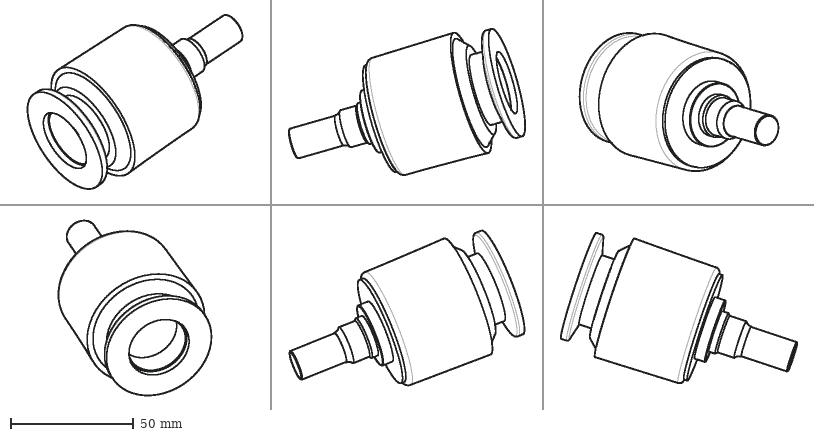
import cadquery as cq
import math

LENGTH = 92.3

FLANGE_RADIUS = 22.9
FLANGE_RIM_WIDTH = 2.3
FLANGE_EDGE_ROUND = 0.9
FLANGE_SLOPE = math.radians(15)
NECK_RADIUS = 14.95

RECESS_RADIUS = 13.1
RECESS_DEPTH = 2.7
BORE_RADIUS = 12.5
BORE_DEPTH = 12.9

CONE_FRONT_Y = 11.1
CONE_FRONT_RADIUS = 18.8
CONE_BACK_RADIUS = 23.1
BODY_FRONT_Y = 15.5
BODY_FRONT_DIAMETER = 51.2
BODY_BACK_RADIUS = 24.9
SHOULDER_ROUND = 1.9
REAR_RIM_RADIUS = 22.8
REAR_RIM_FRONT_Y = 53.0
REAR_RIM_BACK_Y = 54.5

COLLAR_RADIUS = 13.3
COLLAR_BACK_Y = 59.1
COLLAR_CHAMFER = 0.3
STEP_RADIUS = 8.8
STEP_CHAMFER = 0.8
STEP_BACK_Y = 62.6
SLEEVE_RADIUS = 7.9
SLEEVE_BACK_Y = 69.7
SLEEVE_TIP_RADIUS = 6.55
SLEEVE_TIP_BACK_Y = 72.3
SHAFT_RADIUS = 6.4
SHAFT_CHAMFER = 0.4

round_centre_radius = FLANGE_RADIUS - FLANGE_EDGE_ROUND
mid_angle = (math.pi / 2 - FLANGE_SLOPE) / 2


def flange_round_point(angle):
    """Point on the flange edge round, with the angle measured from the radial direction."""
    return (
        round_centre_radius + FLANGE_EDGE_ROUND * math.cos(angle),
        FLANGE_RIM_WIDTH + FLANGE_EDGE_ROUND * math.sin(angle),
    )


slope_start = flange_round_point(2 * mid_angle)
slope_end_y = slope_start[1] + (slope_start[0] - NECK_RADIUS) * math.tan(FLANGE_SLOPE)

shoulder_y = REAR_RIM_FRONT_Y - SHOULDER_ROUND
shoulder_inner_radius = BODY_BACK_RADIUS - SHOULDER_ROUND
shoulder_mid = (
    shoulder_inner_radius + SHOULDER_ROUND * math.cos(math.pi / 4),
    shoulder_y + SHOULDER_ROUND * math.sin(math.pi / 4),
)

flare_drop = SLEEVE_RADIUS - SLEEVE_TIP_RADIUS
flare_length = SLEEVE_TIP_BACK_Y - SLEEVE_BACK_Y
flare_arc_radius = (flare_drop**2 + flare_length**2) / (2 * flare_drop)
flare_half_angle = math.asin(flare_length / flare_arc_radius) / 2
sleeve_arc_mid = (
    SLEEVE_TIP_RADIUS + flare_arc_radius * (1 - math.cos(flare_half_angle)),
    SLEEVE_TIP_BACK_Y - flare_arc_radius * math.sin(flare_half_angle),
)

half_section = (
    cq.Workplane("XY")
    .moveTo(0, 0)
    .lineTo(FLANGE_RADIUS, 0)
    .lineTo(FLANGE_RADIUS, FLANGE_RIM_WIDTH)
    .threePointArc(flange_round_point(mid_angle), slope_start)
    .lineTo(NECK_RADIUS, slope_end_y)
    .lineTo(NECK_RADIUS, CONE_FRONT_Y)
    .lineTo(CONE_FRONT_RADIUS, CONE_FRONT_Y)
    .lineTo(CONE_BACK_RADIUS, BODY_FRONT_Y)
    .lineTo(BODY_FRONT_DIAMETER / 2, BODY_FRONT_Y)
    .lineTo(BODY_BACK_RADIUS, shoulder_y)
    .threePointArc(shoulder_mid, (shoulder_inner_radius, REAR_RIM_FRONT_Y))
    .lineTo(REAR_RIM_RADIUS, REAR_RIM_FRONT_Y)
    .lineTo(REAR_RIM_RADIUS, REAR_RIM_BACK_Y)
    .lineTo(COLLAR_RADIUS, REAR_RIM_BACK_Y)
    .lineTo(COLLAR_RADIUS, COLLAR_BACK_Y - COLLAR_CHAMFER)
    .lineTo(COLLAR_RADIUS - COLLAR_CHAMFER, COLLAR_BACK_Y)
    .lineTo(STEP_RADIUS, COLLAR_BACK_Y)
    .lineTo(STEP_RADIUS, STEP_BACK_Y - STEP_CHAMFER)
    .lineTo(SLEEVE_RADIUS, STEP_BACK_Y)
    .lineTo(SLEEVE_RADIUS, SLEEVE_BACK_Y)
    .threePointArc(sleeve_arc_mid, (SLEEVE_TIP_RADIUS, SLEEVE_TIP_BACK_Y))
    .lineTo(SHAFT_RADIUS, SLEEVE_TIP_BACK_Y)
    .lineTo(SHAFT_RADIUS, LENGTH - SHAFT_CHAMFER)
    .lineTo(SHAFT_RADIUS - SHAFT_CHAMFER, LENGTH)
    .lineTo(0, LENGTH)
    .close()
)
turned_body = half_section.revolve(360, (0, 0), (0, 1))


def front_hole(radius, depth):
    """Cylinder running back from the flange face along Y."""
    return cq.Workplane("XZ").circle(radius).extrude(-depth)


result = (
    turned_body
    .cut(front_hole(RECESS_RADIUS, RECESS_DEPTH))
    .cut(front_hole(BORE_RADIUS, BORE_DEPTH))
    .translate((0, -LENGTH / 2, 0))
)